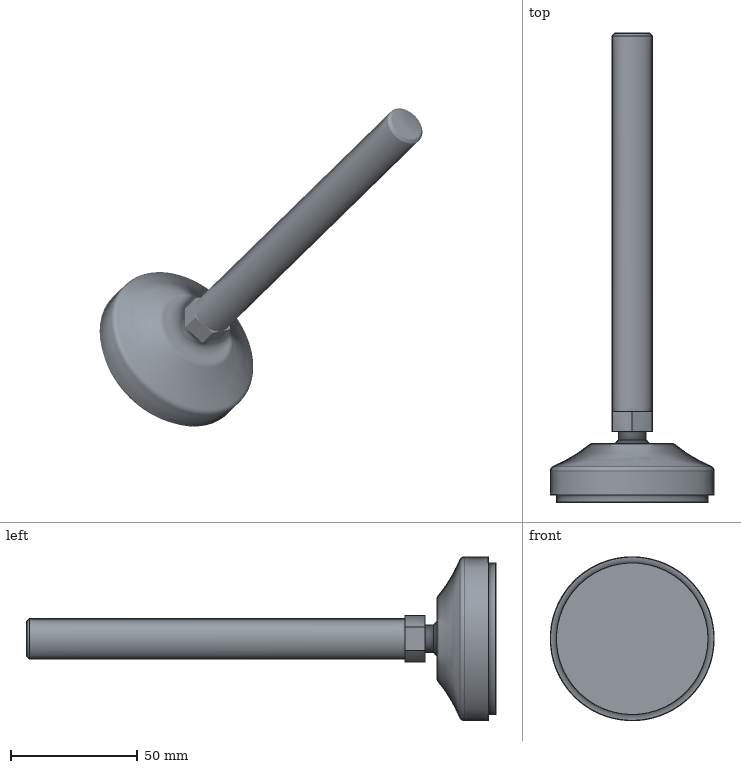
import cadquery as cq
import math

total_length = 186.0

foot_diameter = 65.0
sole_diameter = 60.0
sole_height = 3.0
rim_height = 13.8
foot_top_diameter = 32.4
foot_height = 23.5
flank_sag = 0.7
foot_edge_radius = 2.0

neck_diameter = 11.0
flare_height = 1.3
flare_diameter = neck_diameter + 2 * flare_height

hex_across_flats = 16.0
hex_bottom = 28.0
hex_height = 8.0
hex_top = hex_bottom + hex_height

stem_diameter = hex_across_flats
stem_chamfer = 1.1


def make_foot():
    """Revolved foot with a stepped-in sole, a rounded rim and a hollow-curved flank."""
    foot_radius = foot_diameter / 2
    top_radius = foot_top_diameter / 2

    flank_run = foot_radius - top_radius
    flank_rise = foot_height - rim_height
    flank_chord = math.hypot(flank_run, flank_rise)
    flank_middle = (
        (foot_radius + top_radius) / 2 - flank_sag * flank_rise / flank_chord,
        (rim_height + foot_height) / 2 - flank_sag * flank_run / flank_chord,
    )

    profile = (
        cq.Workplane("XY")
        .lineTo(sole_diameter / 2, 0)
        .lineTo(sole_diameter / 2, sole_height)
        .lineTo(foot_radius, sole_height)
        .lineTo(foot_radius, rim_height)
        .threePointArc(flank_middle, (top_radius, foot_height))
        .lineTo(0, foot_height)
        .close()
    )
    foot = profile.revolve(360, (0, 0), (0, 1))

    top_face = foot.faces(">Y")
    rim_wall = foot.faces("%CYLINDER").faces(">Y")
    flank_edges = top_face.edges().add(rim_wall.edges(">Y"))
    return flank_edges.fillet(foot_edge_radius)


def make_neck():
    """Round neck from the foot to the hexagon, with a conical flare at its base."""
    profile = (
        cq.Workplane("XY")
        .moveTo(0, foot_height)
        .lineTo(flare_diameter / 2, foot_height)
        .lineTo(neck_diameter / 2, foot_height + flare_height)
        .lineTo(neck_diameter / 2, hex_bottom)
        .lineTo(0, hex_bottom)
        .close()
    )
    return profile.revolve(360, (0, 0), (0, 1))


def make_hexagon():
    """Wrench hexagon with two flats facing along X."""
    corner_diameter = hex_across_flats / math.cos(math.pi / 6)
    return (
        cq.Workplane("XZ", origin=(0, hex_bottom, 0))
        .transformed(rotate=(0, 0, 90))
        .polygon(6, corner_diameter)
        .extrude(-hex_height)
    )


def make_stem():
    """Plain round stem with a chamfered free end."""
    return (
        cq.Workplane("XZ", origin=(0, hex_top, 0))
        .circle(stem_diameter / 2)
        .extrude(hex_top - total_length)
        .faces(">Y")
        .chamfer(stem_chamfer)
    )


result = make_foot().union(make_neck()).union(make_hexagon()).union(make_stem())